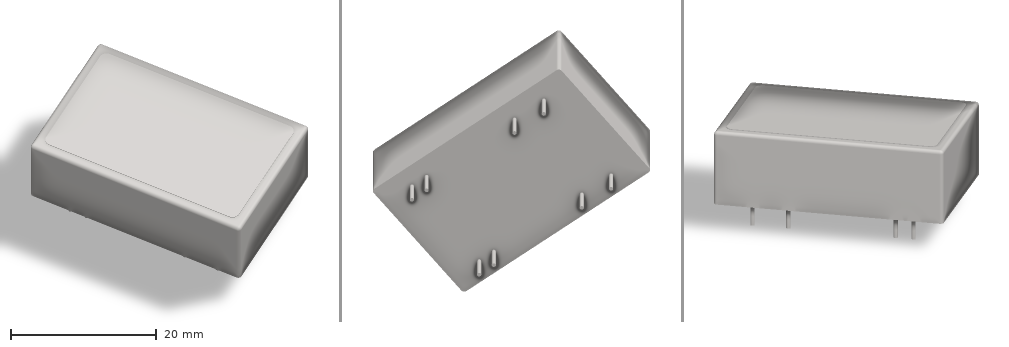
import cadquery as cq


housing_length = 32.5
housing_width = 20.8
overall_height = 14.3
edge_radius = 0.5

label_inset = 1.33
label_thickness = 0.1
label_corner_radius = 1.0

pin_diameter = 0.6
pin_length = 3.58
pin_pitch = 2.55
last_slot = 9
used_slots = (0, 1, 7, last_slot)
row_spacing = 6 * pin_pitch

housing_height = overall_height - pin_length - label_thickness


def make_housing():
    """Block with rounded upright and top edges and a sharp bottom outline."""
    block = cq.Workplane("XY").box(
        housing_length, housing_width, housing_height, centered=(True, True, False)
    )
    return block.edges("|Z or >Z").fillet(edge_radius)


def make_label():
    """Thin plate with rounded corners, resting on the housing."""
    plate = (
        cq.Workplane("XY")
        .workplane(offset=housing_height)
        .rect(housing_length - 2 * label_inset, housing_width - 2 * label_inset)
        .extrude(label_thickness)
    )
    return plate.edges("|Z").fillet(label_corner_radius)


def make_pin(x, y):
    """Round pin hanging from the underside of the housing."""
    return cq.Workplane("XY").center(x, y).circle(pin_diameter / 2).extrude(-pin_length)


housing = make_housing()
label = make_label()

pins = []
for row_y in (-row_spacing / 2, row_spacing / 2):
    for slot in used_slots:
        slot_x = (slot - last_slot / 2) * pin_pitch
        pins.append(make_pin(slot_x, row_y).val())

result = cq.Compound.makeCompound([housing.val(), label.val(), *pins])